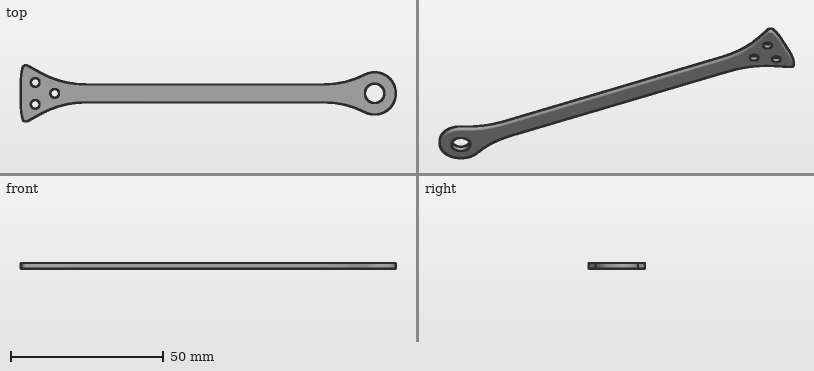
import cadquery as cq
import math

length = 123.2
head_width = 18.56
thickness = 2.0
edge_fillet = 0.5

eye_radius = 7.0
eye_hole_diameter = 6.3
shaft_half_width = 3.0
eye_neck_radius = 28.5

head_end_x = eye_radius - length
end_flat_half_width = 3.5
end_curve_radius = 20.0
corner_radius = 1.2
head_neck_start_x = -95.0
head_neck_radius = 30.0

small_hole_diameter = 2.8
outer_hole_x = -111.4
outer_hole_offset = 3.6
inner_hole_x = -105.0

eye_neck_centre_y = shaft_half_width + eye_neck_radius
eye_neck_reach = math.sqrt((eye_radius + eye_neck_radius) ** 2 - eye_neck_centre_y ** 2)
eye_neck_centre = (-eye_neck_reach, eye_neck_centre_y)
head_neck_centre = (head_neck_start_x, shaft_half_width + head_neck_radius)
end_curve_centre = (head_end_x + end_curve_radius, end_flat_half_width)
corner_centre_y = head_width / 2 - corner_radius
corner_rise = corner_centre_y - end_flat_half_width
corner_reach = math.sqrt((end_curve_radius - corner_radius) ** 2 - corner_rise ** 2)
corner_centre = (end_curve_centre[0] - corner_reach, corner_centre_y)

flank_span = math.dist(corner_centre, head_neck_centre)
centre_line_angle = math.atan2(
    head_neck_centre[1] - corner_centre[1],
    head_neck_centre[0] - corner_centre[0],
)
flank_normal_angle = centre_line_angle + math.acos((corner_radius + head_neck_radius) / flank_span)


def point_toward(start, target, distance):
    """Point at a distance from start, on the line through start and target."""
    span = math.dist(start, target)
    return tuple(s + (t - s) * distance / span for s, t in zip(start, target))


def point_at_angle(centre, radius, angle):
    """Point on a circle at an angle in radians."""
    return (centre[0] + radius * math.cos(angle), centre[1] + radius * math.sin(angle))


def mirrored(point):
    """Matching point on the lower side of the centre line."""
    return (point[0], -point[1])


def arm_blank():
    """Flat arm whose outline is symmetric about the X axis."""
    eye_neck_end = point_toward((0, 0), eye_neck_centre, eye_radius)
    eye_neck_start = (eye_neck_centre[0], shaft_half_width)
    head_neck_start = (head_neck_start_x, shaft_half_width)
    flank_start = point_at_angle(head_neck_centre, -head_neck_radius, flank_normal_angle)
    flank_end = point_at_angle(corner_centre, corner_radius, flank_normal_angle)
    corner_end = point_toward(end_curve_centre, corner_centre, end_curve_radius)
    end_flat_top = (head_end_x, end_flat_half_width)
    outline = (
        cq.Workplane("XY")
        .moveTo(*mirrored(eye_neck_end))
        .threePointArc((eye_radius, 0), eye_neck_end)
        .radiusArc(eye_neck_start, eye_neck_radius)
        .lineTo(*head_neck_start)
        .radiusArc(flank_start, head_neck_radius)
        .lineTo(*flank_end)
        .radiusArc(corner_end, -corner_radius)
        .radiusArc(end_flat_top, -end_curve_radius)
        .lineTo(*mirrored(end_flat_top))
        .radiusArc(mirrored(corner_end), -end_curve_radius)
        .radiusArc(mirrored(flank_end), -corner_radius)
        .lineTo(*mirrored(flank_start))
        .radiusArc(mirrored(head_neck_start), head_neck_radius)
        .lineTo(*mirrored(eye_neck_start))
        .radiusArc(mirrored(eye_neck_end), eye_neck_radius)
        .close()
    )
    return outline.extrude(thickness)


def through_holes(points, diameter):
    """Cutting cylinders through the full thickness."""
    return cq.Workplane("XY").pushPoints(points).circle(diameter / 2).extrude(thickness)


head_hole_points = [
    (outer_hole_x, outer_hole_offset),
    (outer_hole_x, -outer_hole_offset),
    (inner_hole_x, 0),
]

arm = arm_blank().faces("<Z or >Z").edges().fillet(edge_fillet)
arm = arm.cut(through_holes([(0, 0)], eye_hole_diameter))
result = arm.cut(through_holes(head_hole_points, small_hole_diameter))